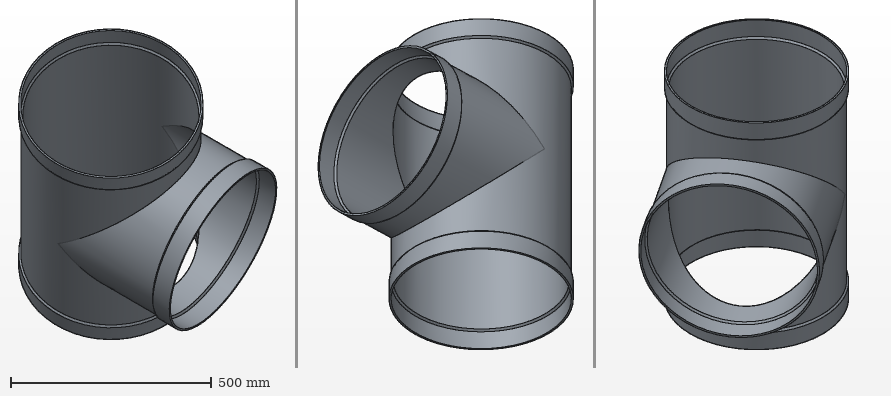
import cadquery as cq

height = 686.0
overall_width = 575.0
bore_diameter = 440.0
pipe_diameter = 450.0
collar_diameter = 460.0
collar_length = 50.0

bore_radius = bore_diameter / 2
pipe_radius = pipe_diameter / 2
collar_radius = collar_diameter / 2
flare_step = collar_radius - pipe_radius
flare_length = flare_step
run_reach = height / 2
branch_reach = overall_width - collar_radius


def cylinder(radius, start, end):
    """Solid cylinder along Z between two heights."""
    return cq.Workplane("XY").workplane(offset=start).circle(radius).extrude(end - start)


def flared_end(radius, reach):
    """Solid end piece of a pipe along Z, widening to a collar that stops at Z = reach."""
    collar_start = reach - collar_length
    flare_start = collar_start - flare_length
    return (
        cq.Workplane("XZ")
        .moveTo(0, flare_start)
        .lineTo(radius, flare_start)
        .lineTo(radius + flare_step, collar_start)
        .lineTo(radius + flare_step, reach)
        .lineTo(0, reach)
        .close()
        .revolve(360, (0, 0, 0), (0, 1, 0))
    )


def tee(radius):
    """Solid tee whose run and branch have the given radius between the flares."""
    run_end = flared_end(radius, run_reach)
    run = cylinder(radius, -run_reach, run_reach).union(run_end).union(run_end.mirror("XY"))
    branch = cylinder(radius, 0, branch_reach).union(flared_end(radius, branch_reach))
    return run.union(branch.rotate((0, 0, 0), (0, 1, 0), 90))


outside = tee(pipe_radius)
inside = tee(bore_radius)
result = outside.cut(inside)